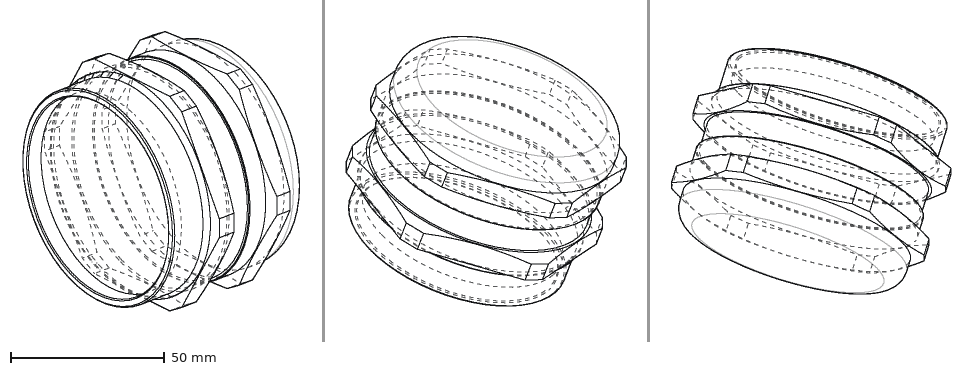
import cadquery as cq
import math

ACROSS_FLATS = 78.0
ACROSS_CLIPPED_CORNERS = 86.1

SEAL_CENTRE = 14.3
FLANGE_START = 15.0
FLANGE_END = 23.0
NUT_START = 31.85
NUT_HEX_START = 38.9
NUT_HEX_END = 46.9
TOTAL_LENGTH = 57.0

TUBE_RADIUS = 37.4
NECK_RADIUS = 37.8
NUT_RADIUS = 38.8
SEAL_RADIUS = NUT_RADIUS
DOME_RADIUS = 6.0
NUT_FRONT_CHAMFER = 0.3
TUBE_CHAMFER = 0.5
SEAL_SECTION_RADIUS = 1.5

RECESS_RADIUS = 34.6
RECESS_DEPTH = 5.9
RECESS_CHAMFER = 0.4

CONE_END_RADIUS = NUT_RADIUS
FLANGE_CONE_LENGTH = 1.6
NUT_CONE_LENGTH = 1.1

CLIPPED_APOTHEM = ACROSS_CLIPPED_CORNERS / 2
HALF_CLIP_WIDTH = ACROSS_FLATS - CLIPPED_APOTHEM * math.sqrt(3)
CORNER_RADIUS = math.hypot(CLIPPED_APOTHEM, HALF_CLIP_WIDTH)


def cylinder(radius, start, end):
    """Cylinder around the Y axis between two stations."""
    return cq.Workplane("XZ", origin=(0, start, 0)).circle(radius).extrude(start - end)


def hexagon(start, end):
    """Hexagonal prism along Y, flats at top and bottom, with clipped corners."""
    def prism(across_flats):
        circumscribed = across_flats / math.cos(math.pi / 6)
        return cq.Workplane("XZ", origin=(0, start, 0)).polygon(6, circumscribed).extrude(start - end)

    clipping = prism(ACROSS_CLIPPED_CORNERS).rotate((0, 0, 0), (0, 1, 0), 30)
    return prism(ACROSS_FLATS).intersect(clipping)


def revolve_about_y(profile):
    """Full turn of a closed XY profile around the part axis."""
    return profile.revolve(360, (0, 0, 0), (0, 1, 0))


def hex_envelope(start, end, front_cone, back_cone):
    """Turned envelope that bevels the hexagon corners; a zero cone leaves that end square."""
    profile = cq.Workplane("XY").moveTo(0, start)
    if front_cone:
        profile = profile.lineTo(CONE_END_RADIUS, start)
    profile = profile.lineTo(CORNER_RADIUS, start + front_cone)
    profile = profile.lineTo(CORNER_RADIUS, end - back_cone)
    if back_cone:
        profile = profile.lineTo(CONE_END_RADIUS, end)
    return revolve_about_y(profile.lineTo(0, end).close())


def bevelled_hexagon(start, end, front_cone, back_cone):
    """Clipped hexagon with its corners bevelled by cones at the two ends."""
    return hexagon(start, end).intersect(hex_envelope(start, end, front_cone, back_cone))


tube = cylinder(TUBE_RADIUS, 0, FLANGE_START).faces("<Y").chamfer(TUBE_CHAMFER)
seal_section = cq.Workplane("XY").moveTo(SEAL_SECTION_RADIUS - SEAL_RADIUS, SEAL_CENTRE)
seal = revolve_about_y(seal_section.circle(SEAL_SECTION_RADIUS))
flange = bevelled_hexagon(FLANGE_START, FLANGE_END, 0, FLANGE_CONE_LENGTH)
neck = cylinder(NECK_RADIUS, FLANGE_END, NUT_START)

sleeve = cylinder(NUT_RADIUS, NUT_START, TOTAL_LENGTH).faces(">Y").edges().fillet(DOME_RADIUS)
sleeve = sleeve.faces("<Y").chamfer(NUT_FRONT_CHAMFER)
nut_hexagon = bevelled_hexagon(NUT_HEX_START, NUT_HEX_END, NUT_CONE_LENGTH, NUT_CONE_LENGTH)

recess = cylinder(RECESS_RADIUS, 0, RECESS_DEPTH)
mouth_profile = cq.Workplane("XY").polyline(
    [
        (0, 0),
        (RECESS_RADIUS + RECESS_CHAMFER, 0),
        (RECESS_RADIUS, RECESS_CHAMFER),
        (0, RECESS_CHAMFER),
    ]
)
recess_mouth = revolve_about_y(mouth_profile.close())

result = tube.union(seal).union(flange).union(neck).union(sleeve).union(nut_hexagon)
result = result.cut(recess).cut(recess_mouth)